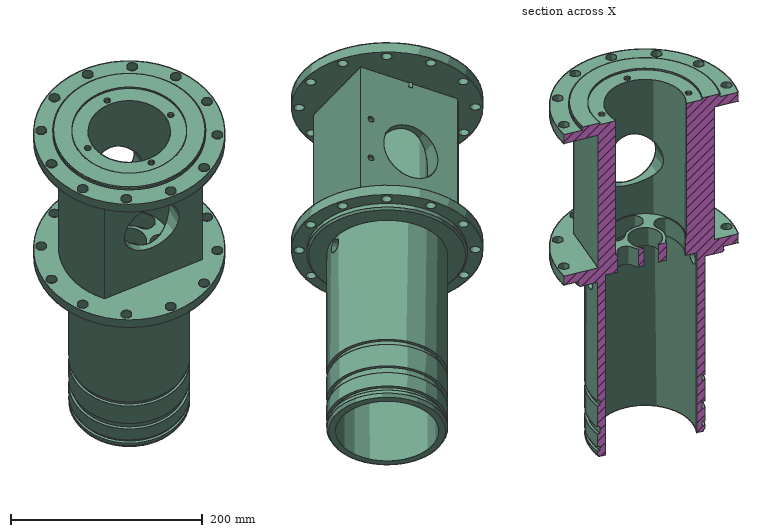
import cadquery as cq
import math

TOP = 430.0
SPIGOT_HEIGHT = 4.0
FLANGE_THICKNESS = 12.0
UPPER_FLANGE_TOP = TOP - SPIGOT_HEIGHT
UPPER_FLANGE_BOTTOM = UPPER_FLANGE_TOP - FLANGE_THICKNESS
LOWER_FLANGE_TOP = 244.0
LOWER_FLANGE_BOTTOM = LOWER_FLANGE_TOP - FLANGE_THICKNESS
COLLAR_HEIGHT = 7.0
COLLAR_BOTTOM = LOWER_FLANGE_BOTTOM - COLLAR_HEIGHT

FLANGE_DIAMETER = 200.0
BOLT_COUNT = 12
BOLT_CIRCLE_RADIUS = 92.0
BOLT_HOLE_DIAMETER = 11.0

SPIGOT_DIAMETER = 160.0
SPIGOT_CHAMFER = 1.0
RECESS_DIAMETER = 120.0
RECESS_DEPTH = 2.0
COLLAR_DIAMETER = 168.0
COLLAR_CHAMFER = 2.0

HOUSING_HALF_WIDTH = 50.0
HOUSING_BACK_Y = 60.0
HOUSING_CORNER_Y = -56.0
HOUSING_FRONT_Y = -73.5
WINDOW_DIAMETER = 65.0
WINDOW_Z = 327.0

SLEEVE_DIAMETER = 126.5
SLEEVE_CHAMFER_HEIGHT = 4.0
SLEEVE_CHAMFER_WIDTH = 2.0
GROOVE_DIAMETER = 120.5
GROOVES = [(66.2, 72.5), (30.0, 38.5), (7.7, 13.0)]
CROSS_HOLE_DIAMETER = 15.0
CROSS_HOLE_Z = 215.0

UPPER_BORE_DIAMETER = 86.0
SLEEVE_BORE_DIAMETER = 108.0
PLATE_TOP = 255.0
PLATE_BOTTOM = LOWER_FLANGE_BOTTOM
GUIDE_HOLE_DIAMETER = 36.0
SLOT_COUNT = 3
SLOT_WIDTH = 20.0
SLOT_CENTRE_RADIUS = 32.0
SLOT_HALF_ANGLE = 30.0

TAP_DIAMETER = 4.7
TAP_MOUTH_DIAMETER = 7.0
TAP_POINT_ANGLE = 118.0
COVER_TAP_COUNT = 4
COVER_TAP_RADIUS = 49.0
COVER_TAP_DEPTH = 19.8
SIDE_TAP_Y = 47.7
SIDE_TAP_SPACING = 49.5
SIDE_TAP_DEPTH = 13.0


def disc(diameter, bottom, top):
    """Vertical cylinder on the main axis."""
    return cq.Workplane("XY").workplane(offset=bottom).circle(diameter / 2).extrude(top - bottom)


def flange(bottom):
    bolt_holes = (
        cq.Workplane("XY")
        .workplane(offset=bottom)
        .polarArray(BOLT_CIRCLE_RADIUS, 0, 360, BOLT_COUNT)
        .circle(BOLT_HOLE_DIAMETER / 2)
        .extrude(FLANGE_THICKNESS)
    )
    return disc(FLANGE_DIAMETER, bottom, bottom + FLANGE_THICKNESS).cut(bolt_holes)


def spigot():
    ring = disc(SPIGOT_DIAMETER, UPPER_FLANGE_TOP, TOP)
    return ring.faces(">Z").edges().chamfer(SPIGOT_CHAMFER)


def collar():
    ring = disc(COLLAR_DIAMETER, COLLAR_BOTTOM, LOWER_FLANGE_BOTTOM)
    return ring.faces("<Z").edges().chamfer(COLLAR_CHAMFER)


def housing():
    return (
        cq.Workplane("XY")
        .workplane(offset=LOWER_FLANGE_TOP)
        .moveTo(-HOUSING_HALF_WIDTH, HOUSING_BACK_Y)
        .lineTo(-HOUSING_HALF_WIDTH, HOUSING_CORNER_Y)
        .threePointArc((0, HOUSING_FRONT_Y), (HOUSING_HALF_WIDTH, HOUSING_CORNER_Y))
        .lineTo(HOUSING_HALF_WIDTH, HOUSING_BACK_Y)
        .close()
        .extrude(UPPER_FLANGE_BOTTOM - LOWER_FLANGE_TOP)
    )


def sleeve():
    tube = disc(SLEEVE_DIAMETER, 0, COLLAR_BOTTOM)
    tube = tube.faces("<Z").edges().chamfer(SLEEVE_CHAMFER_HEIGHT, SLEEVE_CHAMFER_WIDTH)
    for bottom, top in GROOVES:
        ring = disc(SLEEVE_DIAMETER, bottom, top).cut(disc(GROOVE_DIAMETER, bottom, top))
        tube = tube.cut(ring)
    return tube


def polar_point(radius, angle):
    return radius * math.cos(math.radians(angle)), radius * math.sin(math.radians(angle))


def curved_slot(middle_angle):
    """Round-ended slot that follows a circle about the main axis."""
    inner = SLOT_CENTRE_RADIUS - SLOT_WIDTH / 2
    outer = SLOT_CENTRE_RADIUS + SLOT_WIDTH / 2
    start = middle_angle - SLOT_HALF_ANGLE
    end = middle_angle + SLOT_HALF_ANGLE
    band = (
        cq.Workplane("XY")
        .workplane(offset=PLATE_BOTTOM)
        .moveTo(*polar_point(inner, start))
        .threePointArc(polar_point(inner, middle_angle), polar_point(inner, end))
        .lineTo(*polar_point(outer, end))
        .threePointArc(polar_point(outer, middle_angle), polar_point(outer, start))
        .close()
        .extrude(PLATE_TOP - PLATE_BOTTOM)
    )
    ends = (
        cq.Workplane("XY")
        .workplane(offset=PLATE_BOTTOM)
        .pushPoints([polar_point(SLOT_CENTRE_RADIUS, start), polar_point(SLOT_CENTRE_RADIUS, end)])
        .circle(SLOT_WIDTH / 2)
        .extrude(PLATE_TOP - PLATE_BOTTOM)
    )
    return band.union(ends)


def bores():
    cavity = disc(UPPER_BORE_DIAMETER, PLATE_TOP, TOP)
    cavity = cavity.union(disc(RECESS_DIAMETER, TOP - RECESS_DEPTH, TOP))
    cavity = cavity.union(disc(SLEEVE_BORE_DIAMETER, 0, PLATE_BOTTOM))
    cavity = cavity.union(disc(GUIDE_HOLE_DIAMETER, PLATE_BOTTOM, PLATE_TOP))
    for index in range(SLOT_COUNT):
        cavity = cavity.union(curved_slot(-90 + index * 360 / SLOT_COUNT))
    return cavity


def window():
    return (
        cq.Workplane("YZ")
        .center(0, WINDOW_Z)
        .circle(WINDOW_DIAMETER / 2)
        .extrude(HOUSING_HALF_WIDTH, both=True)
    )


def cross_hole():
    return (
        cq.Workplane("XZ")
        .center(0, CROSS_HOLE_Z)
        .circle(CROSS_HOLE_DIAMETER / 2)
        .extrude(SLEEVE_DIAMETER, both=True)
    )


def tap(depth):
    """Countersunk blind hole with a drill-point end, running down from z = 0."""
    radius = TAP_DIAMETER / 2
    mouth_radius = TAP_MOUTH_DIAMETER / 2
    point_height = radius / math.tan(math.radians(TAP_POINT_ANGLE / 2))
    return (
        cq.Workplane("XZ")
        .moveTo(0, 0)
        .lineTo(mouth_radius, 0)
        .lineTo(radius, radius - mouth_radius)
        .lineTo(radius, point_height - depth)
        .lineTo(0, -depth)
        .close()
        .revolve(360, (0, 0), (0, 1))
    )


def cover_taps():
    points = cq.Workplane("XY").polarArray(COVER_TAP_RADIUS, 0, 360, COVER_TAP_COUNT)
    recess_floor = TOP - RECESS_DEPTH
    taps = points.eachpoint(tap(COVER_TAP_DEPTH).val(), combine="a")
    return taps.translate((0, 0, recess_floor))


def side_taps():
    sideways = tap(SIDE_TAP_DEPTH).rotate((0, 0, 0), (0, 1, 0), -90)
    half = SIDE_TAP_SPACING / 2
    lower = sideways.translate((-HOUSING_HALF_WIDTH, SIDE_TAP_Y, WINDOW_Z - half))
    return lower.union(lower.translate((0, 0, SIDE_TAP_SPACING)))


result = (
    sleeve()
    .union(collar())
    .union(flange(LOWER_FLANGE_BOTTOM))
    .union(housing())
    .union(flange(UPPER_FLANGE_BOTTOM))
    .union(spigot())
)
for cutter in (bores(), window(), cross_hole(), cover_taps(), side_taps()):
    result = result.cut(cutter)